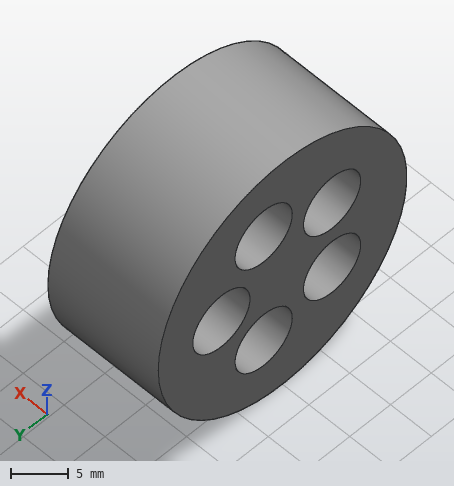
import cadquery as cq

disc_diameter = 30.5
disc_thickness = 13.5
hole_diameter = 7.0
hole_count = 5
hole_circle_radius = 7.5

disc = (
    cq.Workplane("YZ")
    .circle(disc_diameter / 2)
    .extrude(disc_thickness)
)

holes = (
    cq.Workplane("YZ")
    .polarArray(hole_circle_radius, 0, 360, hole_count)
    .circle(hole_diameter / 2)
    .extrude(disc_thickness)
)

result = disc.cut(holes)